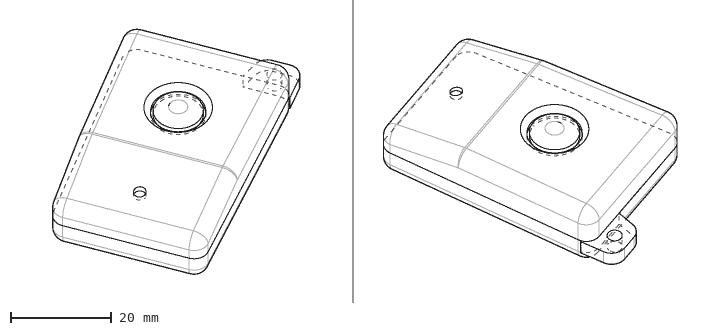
import cadquery as cq
import math

case_length = 50.4
back_width = 34.95
front_width = 32.45
case_height = 14.0
slope_angle = 8.2
slope_length = 18.9
edge_radius = 3.0
seam_height = 6.3
front_height = case_height - slope_length * math.tan(math.radians(slope_angle))

tab_thickness = 3.15
tab_reach = 6.0
tab_inset = 2.4
tab_overhang = 0.12
tab_right = back_width / 2 + tab_overhang
tab_top_width = 8.85
tab_base_width = 10.75
tab_corner_radius = 3.0
tab_hole_diameter = 3.0
tab_hole_x = 12.6
tab_hole_reach = 2.5

button_y = 31.2
button_diameter = 10.0
button_flat_diameter = 3.8
button_top = 14.2
button_cone_drop = 1.0
pocket_diameter = 11.0
pocket_mouth_diameter = 13.6
pocket_cone_depth = 1.2
pocket_depth = 2.0
pocket_floor = case_height - pocket_depth

indicator_y = 8.3
indicator_diameter = 2.5
indicator_depth = 1.05
indicator_surface = front_height + indicator_y * math.tan(math.radians(slope_angle))
indicator_floor = indicator_surface - indicator_depth


def make_case_block():
    """The whole outer shape of the case, before it is split at the seam."""
    plan = (
        cq.Workplane("XY")
        .polyline([
            (-front_width / 2, 0),
            (front_width / 2, 0),
            (back_width / 2, case_length),
            (-back_width / 2, case_length),
        ])
        .close()
        .extrude(case_height)
    )
    side_profile = (
        cq.Workplane("YZ")
        .polyline([
            (0, 0),
            (case_length, 0),
            (case_length, case_height),
            (slope_length, case_height),
            (0, front_height),
        ])
        .close()
        .extrude(back_width / 2, both=True)
    )
    return plan.intersect(side_profile).edges().fillet(edge_radius)


def make_half_space(bottom, top):
    """A slab wider than the case, used to keep one side of the seam."""
    return (
        cq.Workplane("XY", origin=(0, case_length / 2, bottom))
        .rect(2 * back_width, 2 * case_length)
        .extrude(top - bottom)
    )


def make_tab():
    """Key-ring tab, sloping on its inner side, with rounded outer corners."""
    tab_end = case_length + tab_reach
    tab_root = case_length - tab_inset
    tab_bottom = seam_height - tab_thickness
    return (
        cq.Workplane("XY", origin=(0, 0, tab_bottom))
        .moveTo(tab_right, tab_root)
        .lineTo(tab_right, tab_end)
        .lineTo(tab_right - tab_top_width, tab_end)
        .lineTo(tab_right - tab_base_width, case_length)
        .lineTo(tab_right - tab_base_width, tab_root)
        .close()
        .extrude(tab_thickness)
        .edges("|Z and >Y")
        .fillet(tab_corner_radius)
        .cut(
            cq.Workplane("XY", origin=(tab_hole_x, case_length + tab_hole_reach, tab_bottom))
            .circle(tab_hole_diameter / 2)
            .extrude(tab_thickness)
        )
    )


def make_button_pocket():
    """Straight pocket with a conical mouth, around the button axis."""
    return (
        cq.Workplane("XZ", origin=(0, button_y, 0))
        .moveTo(0, pocket_floor)
        .lineTo(pocket_diameter / 2, pocket_floor)
        .lineTo(pocket_diameter / 2, case_height - pocket_cone_depth)
        .lineTo(pocket_mouth_diameter / 2, case_height)
        .lineTo(0, case_height)
        .close()
        .revolve(360, (0, 0, 0), (0, 1, 0))
    )


def make_indicator_hole():
    return (
        cq.Workplane("XY", origin=(0, indicator_y, indicator_floor))
        .circle(indicator_diameter / 2)
        .extrude(case_height - indicator_floor)
    )


def make_lower_case(block):
    return block.intersect(make_half_space(0, seam_height)).union(make_tab())


def make_upper_case(block):
    upper = block.intersect(make_half_space(seam_height, case_height))
    return upper.cut(make_button_pocket()).cut(make_indicator_hole())


def make_button():
    """Round button with a conical top and a small flat, standing on the pocket floor."""
    return (
        cq.Workplane("XZ", origin=(0, button_y, 0))
        .moveTo(0, pocket_floor)
        .lineTo(button_diameter / 2, pocket_floor)
        .lineTo(button_diameter / 2, button_top - button_cone_drop)
        .lineTo(button_flat_diameter / 2, button_top)
        .lineTo(0, button_top)
        .close()
        .revolve(360, (0, 0, 0), (0, 1, 0))
    )


case_block = make_case_block()
lower_case = make_lower_case(case_block)
upper_case = make_upper_case(case_block)
button = make_button()

result = cq.Compound.makeCompound([lower_case.val(), upper_case.val(), button.val()])